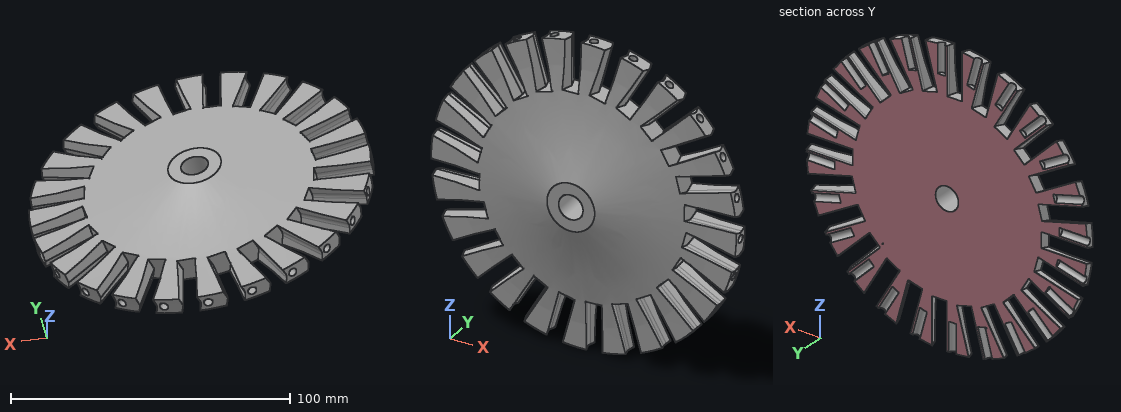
import cadquery as cq
import math

outer_radius = 62.4
hub_radius = 9.7
hub_half_depth = 12.7
bore_radius = 5.0
flank_radius = 150.0

slot_count = 24
slot_floor = 41.9
slot_width = 6.6
chevron_angle = 18.0
chevron_fillet = 3.1
cut_margin = 1.2

hole_diameter = 3.1
hole_offset = 2.5
hole_depth = 12.5


def flank_half_depth(radius):
    """Half depth of the disc at a radius on its concave flank."""
    flank_run = outer_radius - hub_radius
    hub_rise = flank_radius - math.sqrt(flank_radius**2 - flank_run**2)
    rise = flank_radius - math.sqrt(flank_radius**2 - (outer_radius - radius)**2)
    return hub_half_depth - hub_rise + rise


def make_disc():
    middle_radius = (hub_radius + outer_radius) / 2
    rim_half_depth = flank_half_depth(outer_radius)
    middle_half_depth = flank_half_depth(middle_radius)
    return (
        cq.Workplane("XY")
        .moveTo(bore_radius, -hub_half_depth)
        .lineTo(hub_radius, -hub_half_depth)
        .threePointArc((middle_radius, -middle_half_depth), (outer_radius, -rim_half_depth))
        .lineTo(outer_radius, rim_half_depth)
        .threePointArc((middle_radius, middle_half_depth), (hub_radius, hub_half_depth))
        .lineTo(bore_radius, hub_half_depth)
        .close()
        .revolve(360, (0, 0, 0), (0, 1, 0))
    )


def make_slot_cutter():
    """Chevron prism along Z with its rounded wall at X = 0, left of the tooth."""
    half_depth = flank_half_depth(slot_floor) + cut_margin
    setback = half_depth * math.tan(math.radians(chevron_angle))
    return (
        cq.Workplane("XY", origin=(0, 0, slot_floor))
        .moveTo(0, 0)
        .lineTo(-setback, half_depth)
        .lineTo(-setback - slot_width, half_depth)
        .lineTo(-slot_width, 0)
        .lineTo(-setback - slot_width, -half_depth)
        .lineTo(-setback, -half_depth)
        .close()
        .extrude(outer_radius + cut_margin - slot_floor)
        .edges(cq.selectors.NearestToPointSelector((0, 0, (slot_floor + outer_radius) / 2)))
        .fillet(chevron_fillet)
    )


def make_hole_cutter():
    return (
        cq.Workplane("XY", origin=(hole_offset, 0, outer_radius - hole_depth))
        .circle(hole_diameter / 2)
        .extrude(hole_depth + cut_margin)
    )


result = make_disc()
tooth_cutter = make_slot_cutter().add(make_hole_cutter()).combine()
for index in range(slot_count):
    angle = index * 360 / slot_count
    result = result.cut(tooth_cutter.rotate((0, 0, 0), (0, 1, 0), angle))